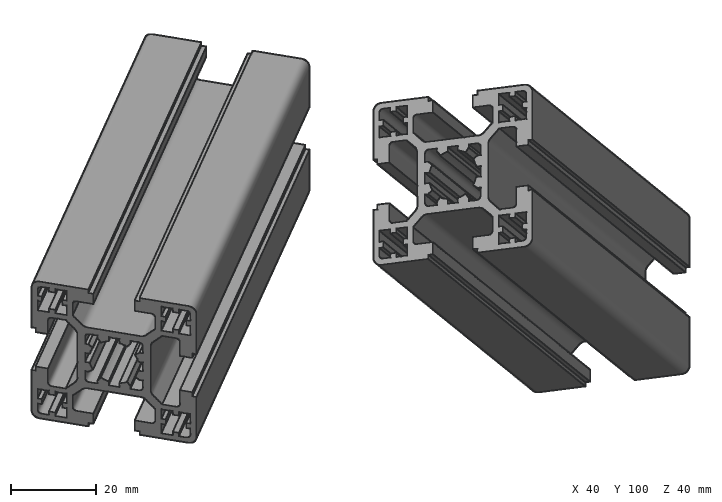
import cadquery as cq
import math

side = 40.0
length = 100.0
outer_radius = 2.0

half_side = side / 2
mouth_half_width = 5.0
rebate_half_width = 6.2
rebate_depth = 1.0
lip_thickness = 4.0
slot_half_width = 10.0
slot_floor_height = 8.9
slot_floor_half_width = 7.2
slot_corner_radius = 1.0
slot_floor_radius = 2.0

chamber_side = 7.0
chamber_offset = 15.0
chamber_radius = 1.0
tooth_width = 1.5
tooth_depth = 1.0

core_side = 14.0
core_radius = 1.0
bore_radius = 6.0
ridge_inner_x = 1.3
ridge_outer_x = 4.0
ridge_tip_angle = 32.0
ridge_shoulder_height = 6.2


def prism(sketch):
    """Extrude a closed XZ outline along Y, centred on the origin."""
    return sketch.extrude(length / 2, both=True)


def square_bar(width, center_x=0, center_z=0):
    return prism(cq.Workplane("XZ").center(center_x, center_z).rect(width, width))


def turned(solid, quarter_turns):
    """Rotate about the extrusion axis."""
    return solid.rotate((0, 0, 0), (0, 1, 0), 90 * quarter_turns)


def edges_near(x, z):
    """Selector for the lengthwise edges at +x and -x at height z."""
    reach = 0.1
    selectors = [
        cq.selectors.BoxSelector(
            (sign * x - reach, -length, z - reach), (sign * x + reach, length, z + reach)
        )
        for sign in (1, -1)
    ]
    return selectors[0] + selectors[1]


def slot():
    """T-slot open toward +Z, with a rebated mouth and a tapered bottom."""
    lip_height = half_side - lip_thickness
    rebate_height = half_side - rebate_depth
    taper_height = slot_floor_height + slot_half_width - slot_floor_half_width
    right_half = [
        (rebate_half_width, half_side),
        (rebate_half_width, rebate_height),
        (mouth_half_width, rebate_height),
        (mouth_half_width, lip_height),
        (slot_half_width, lip_height),
        (slot_half_width, taper_height),
        (slot_floor_half_width, slot_floor_height),
    ]
    left_half = [(-x, z) for x, z in reversed(right_half)]
    void = prism(cq.Workplane("XZ").polyline(right_half + left_half).close())
    void = void.edges(edges_near(slot_half_width, lip_height)).fillet(slot_corner_radius)
    return void.edges(edges_near(slot_floor_half_width, slot_floor_height)).fillet(slot_floor_radius)


def corner_chamber():
    """Toothed chamber in the +X +Z corner, rounded at its outermost edge."""
    chamber = square_bar(chamber_side, chamber_offset, chamber_offset)
    chamber = chamber.edges("|Y").edges(">X and >Z").fillet(chamber_radius)
    tooth_offset = (chamber_side - tooth_depth) / 2
    for direction in (-1, 1):
        shift = direction * tooth_offset
        flank_tooth = cq.Workplane("XY").box(tooth_depth, length, tooth_width)
        face_tooth = cq.Workplane("XY").box(tooth_width, length, tooth_depth)
        chamber = chamber.cut(flank_tooth.translate((chamber_offset + shift, 0, chamber_offset)))
        chamber = chamber.cut(face_tooth.translate((chamber_offset, 0, chamber_offset + shift)))
    return chamber


def core_ridge():
    """Ridge on the +Z wall of the core whose inner face lies on the bore."""
    def bore_point(angle):
        return bore_radius * math.sin(angle), bore_radius * math.cos(angle)

    wall = core_side / 2
    inner_angle = math.asin(ridge_inner_x / bore_radius)
    tip_angle = math.radians(ridge_tip_angle)
    outline = (
        cq.Workplane("XZ")
        .moveTo(ridge_inner_x, wall)
        .lineTo(*bore_point(inner_angle))
        .threePointArc(bore_point((inner_angle + tip_angle) / 2), bore_point(tip_angle))
        .lineTo(ridge_outer_x, ridge_shoulder_height)
        .lineTo(ridge_outer_x, wall)
        .close()
    )
    return prism(outline)


def core_chamber():
    chamber = square_bar(core_side).edges("|Y").fillet(core_radius)
    ridge = core_ridge()
    for quarter in range(4):
        chamber = chamber.cut(turned(ridge, quarter))
        chamber = chamber.cut(turned(ridge.mirror("YZ"), quarter))
    return chamber


profile = square_bar(side).edges("|Y").fillet(outer_radius).cut(core_chamber())
for quarter in range(4):
    profile = profile.cut(turned(slot(), quarter))
    profile = profile.cut(turned(corner_chamber(), quarter))

result = profile